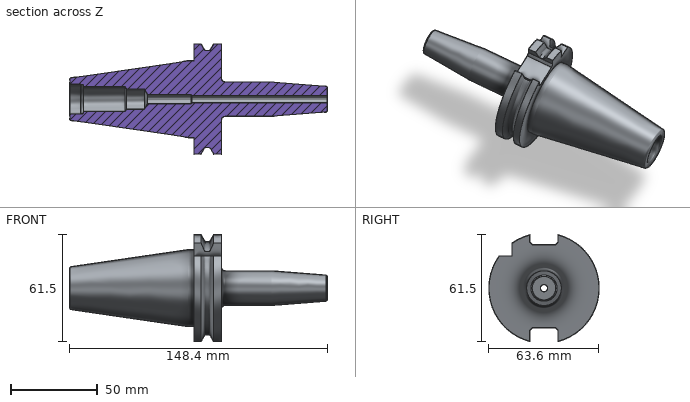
import cadquery as cq
import math

shank_end_x = -68.4
nose_end_x = 80.0
flange_start_x = 3.2
flange_end_x = 19.1
overhang = 1.0
arc_mid_offset = 1 - math.cos(math.radians(45))

gauge_radius = 44.45 / 2
taper_slope = 7 / 24 / 2
shank_end_radius = gauge_radius + taper_slope * shank_end_x
shank_edge_round = 1.3

flange_radius = 31.775
groove_center_x = 10.9
groove_width = 7.15
groove_floor_radius = 28.125
groove_half_angle = math.radians(30)
groove_root_round = 0.6

slot_width = 16.1
slot_floor_top = 25.0
slot_floor_bottom = 22.8
slot_corner_chamfer = 1.5

notch_offset = 18.5

nose_radius = 10.0
nose_root_round = 2.0
nose_taper_length = 32.0
nose_taper_angle = math.radians(4.5)
nose_end_chamfer = 0.7
nose_tip_radius = nose_radius - nose_taper_length * math.tan(nose_taper_angle)

bore_radius = 8.5
bore_mouth_round = 1.1
bore_depth = 6.4
seat_radius = 8.4
seat_depth = 8.0
seat_corner_round = 0.7
thread_radius = 7.0
thread_depth = 32.0
drill_radius = 5.7
drill_depth = 43.0
drill_half_angle = math.radians(59)
feed_radius = 2.6
feed_depth = 70.0
coolant_radius = 2.0


def turned(outline):
    """Solid of revolution about X from a closed outline of radius over X."""
    return outline.close().revolve(360, (0, 0, 0), (1, 0, 0))


def shank():
    outline = (
        cq.Workplane("XZ")
        .moveTo(shank_end_x, 0)
        .lineTo(shank_end_x, shank_end_radius)
        .lineTo(0, gauge_radius)
        .lineTo(flange_start_x, gauge_radius)
        .lineTo(flange_start_x, 0)
    )
    return turned(outline).faces("<X").edges().fillet(shank_edge_round)


def gripper_groove():
    """Ring cutter for the V groove, rounded where its walls meet the floor."""
    half_width = groove_width / 2
    wall_run = (flange_radius - groove_floor_radius) * math.tan(groove_half_angle)
    overshoot = overhang * math.tan(groove_half_angle)
    outline = (
        cq.Workplane("XZ")
        .moveTo(groove_center_x - half_width - overshoot, flange_radius + overhang)
        .lineTo(groove_center_x - half_width + wall_run, groove_floor_radius)
        .lineTo(groove_center_x + half_width - wall_run, groove_floor_radius)
        .lineTo(groove_center_x + half_width + overshoot, flange_radius + overhang)
    )
    floor_edges = cq.selectors.RadiusNthSelector(0)
    return turned(outline).edges(floor_edges).fillet(groove_root_round)


def drive_slot(floor_height, side):
    """Slot cutter with chamfered floor corners; side is +1 for +Z, -1 for -Z."""
    half_width = slot_width / 2
    top = side * (flange_radius + overhang)
    floor = side * floor_height
    chamfer_top = side * (floor_height + slot_corner_chamfer)
    return (
        cq.Workplane("YZ", origin=(flange_start_x, 0, 0))
        .moveTo(-half_width, top)
        .lineTo(-half_width, chamfer_top)
        .lineTo(-half_width + slot_corner_chamfer, floor)
        .lineTo(half_width - slot_corner_chamfer, floor)
        .lineTo(half_width, chamfer_top)
        .lineTo(half_width, top)
        .close()
        .extrude(flange_end_x - flange_start_x)
    )


def orientation_notch():
    return cq.Workplane("XY").box(
        flange_end_x - flange_start_x,
        flange_radius,
        flange_radius,
        centered=False,
    ).translate((flange_start_x, -notch_offset - flange_radius, notch_offset))


def flange():
    disc = (
        cq.Workplane("YZ", origin=(flange_start_x, 0, 0))
        .circle(flange_radius)
        .extrude(flange_end_x - flange_start_x)
    )
    return (
        disc.cut(gripper_groove())
        .cut(drive_slot(slot_floor_top, 1))
        .cut(drive_slot(slot_floor_bottom, -1))
        .cut(orientation_notch())
    )


def nose():
    """Tool nose: root fillet, straight neck, slim taper and end chamfer."""
    root_corner = nose_root_round * arc_mid_offset
    chamfer_radius = nose_tip_radius + nose_end_chamfer * math.tan(nose_taper_angle)
    outline = (
        cq.Workplane("XZ")
        .moveTo(flange_end_x, 0)
        .lineTo(flange_end_x, nose_radius + nose_root_round)
        .threePointArc(
            (flange_end_x + root_corner, nose_radius + root_corner),
            (flange_end_x + nose_root_round, nose_radius),
        )
        .lineTo(nose_end_x - nose_taper_length, nose_radius)
        .lineTo(nose_end_x - nose_end_chamfer, chamfer_radius)
        .lineTo(nose_end_x, nose_tip_radius - nose_end_chamfer)
        .lineTo(nose_end_x, 0)
    )
    return turned(outline)


def center_bore():
    """Cutter for the pull stud bore, its thread hole and the coolant hole."""
    bore_end_x = shank_end_x + bore_depth
    seat_end_x = shank_end_x + seat_depth
    mouth_inset = bore_mouth_round * arc_mid_offset
    seat_inset = seat_corner_round * arc_mid_offset
    thread_end_x = shank_end_x + thread_depth
    drill_end_x = shank_end_x + drill_depth
    feed_end_x = shank_end_x + feed_depth
    cone = math.tan(drill_half_angle)
    outline = (
        cq.Workplane("XZ")
        .moveTo(shank_end_x, 0)
        .lineTo(shank_end_x, bore_radius + bore_mouth_round)
        .threePointArc(
            (shank_end_x + mouth_inset, bore_radius + mouth_inset),
            (shank_end_x + bore_mouth_round, bore_radius),
        )
        .lineTo(bore_end_x, bore_radius)
        .lineTo(bore_end_x + bore_radius - seat_radius, seat_radius)
        .lineTo(seat_end_x - seat_corner_round, seat_radius)
        .threePointArc(
            (seat_end_x - seat_inset, seat_radius - seat_inset),
            (seat_end_x, seat_radius - seat_corner_round),
        )
        .lineTo(seat_end_x, thread_radius)
        .lineTo(thread_end_x, thread_radius)
        .lineTo(thread_end_x + (thread_radius - drill_radius) / cone, drill_radius)
        .lineTo(drill_end_x, drill_radius)
        .lineTo(drill_end_x + (drill_radius - feed_radius) / cone, feed_radius)
        .lineTo(feed_end_x, feed_radius)
        .lineTo(feed_end_x + (feed_radius - coolant_radius) / cone, coolant_radius)
        .lineTo(nose_end_x, coolant_radius)
        .lineTo(nose_end_x, 0)
    )
    return turned(outline)


result = shank().union(flange()).union(nose()).cut(center_bore())